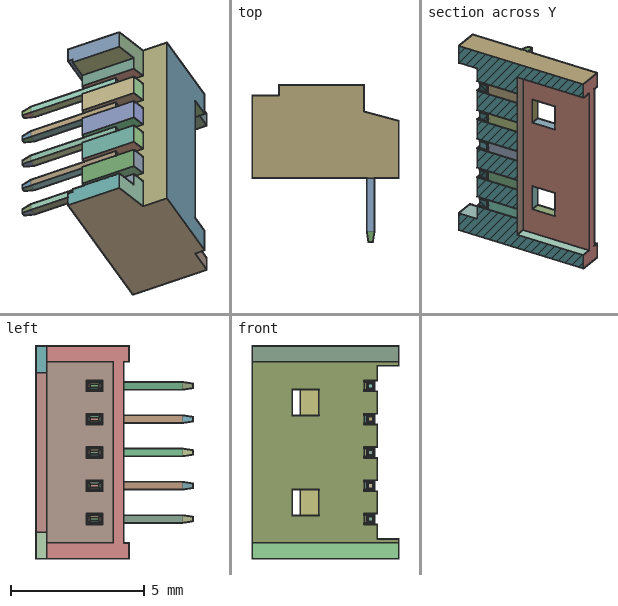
import cadquery as cq
import math


height = 8.0
length = 5.5
depth = 3.5
mouth_step_length = 1.0
wall = 0.4
back_end_x = 4.2
slope_start_y = 2.5
slope_angle = 15.0
slope_end_y = slope_start_y - (length - back_end_x) * math.tan(math.radians(slope_angle))

end_plate = 0.6
wing_thickness = 0.75
front_recess = 0.2
base_front_x = 2.91
base_back_x = 4.7
cavity_height = height - 2 * end_plate
cavity_front_y = front_recess + wall
cavity_back_y = depth - wall
back_opening_end_x = 1.8
back_opening_margin = 1.0

pin_count = 5
pin_row_length = 5.0
pin_pitch = pin_row_length / (pin_count - 1)
pin_z = [(i - (pin_count - 1) / 2) * pin_pitch for i in range(pin_count)]
hole_height = 0.4
hole_width = 0.61
hole_front_y = 1.0
clearance = 0.05
pin_thickness = hole_height - 2 * clearance
blade_width = hole_width - 2 * clearance
blade_y = hole_front_y + hole_width / 2
blade_front_x = 0.43
blade_tip_width = 0.3
blade_tip_thickness = 0.1
blade_taper = 0.5
leg_end_y = -2.4
leg_taper = 0.4
leg_tip = 0.18
leg_gap = 0.1
bend_radius = 0.16
leg_front_x = back_end_x + leg_gap
leg_back_x = leg_front_x + pin_thickness
leg_x = (leg_front_x + leg_back_x) / 2

window_size = 1.0
window_front_x = 1.5
window_z = (pin_z[-2] + pin_z[-1]) / 2


def block(x_range, y_range, z_centre, z_size):
    """Box between two X values and two Y values, centred on z_centre."""
    return (
        cq.Workplane("XY")
        .box(x_range[1] - x_range[0], y_range[1] - y_range[0], z_size, centered=(False, False, True))
        .translate((x_range[0], y_range[0], z_centre))
    )


def make_housing():
    body = (
        cq.Workplane("XY", origin=(0, 0, -height / 2))
        .moveTo(0, 0)
        .lineTo(length, 0)
        .lineTo(length, slope_end_y)
        .lineTo(back_end_x, slope_start_y)
        .lineTo(back_end_x, depth)
        .lineTo(mouth_step_length, depth)
        .lineTo(mouth_step_length, cavity_back_y)
        .lineTo(0, cavity_back_y)
        .close()
        .extrude(height)
    )
    body = body.cut(block((0, base_front_x), (cavity_front_y, cavity_back_y), 0, cavity_height))
    body = body.cut(block((0, length), (0, front_recess), 0, cavity_height))
    body = body.cut(block((base_back_x, length), (0, depth), 0, height - 2 * wing_thickness))
    back_opening_height = height - 2 * back_opening_margin
    body = body.cut(block((0, back_opening_end_x), (cavity_back_y, depth), 0, back_opening_height))
    window_x = (window_front_x, window_front_x + window_size)
    for z in (-window_z, window_z):
        body = body.cut(block(window_x, (0, cavity_front_y), z, window_size))
    hole_y = (hole_front_y, hole_front_y + hole_width)
    for z in pin_z:
        body = body.cut(block((base_front_x, base_back_x), hole_y, z, hole_height))
        body = body.cut(block((back_end_x, base_back_x), (0, depth), z, hole_height))
    return body


def make_pin(z):
    """Right-angle pin: a flat blade along X and a square leg along -Y, both with tapered ends."""
    blade_front_y = blade_y - blade_width / 2
    blade_back_y = blade_y + blade_width / 2
    blade_taper_x = blade_front_x + blade_taper
    leg_taper_y = leg_end_y + leg_taper
    pin = (
        cq.Workplane("XY", origin=(0, 0, -pin_thickness / 2))
        .moveTo(blade_taper_x, blade_back_y)
        .lineTo(leg_back_x, blade_back_y)
        .lineTo(leg_back_x, leg_taper_y)
        .lineTo(leg_front_x, leg_taper_y)
        .lineTo(leg_front_x, blade_front_y - bend_radius)
        .radiusArc((leg_front_x - bend_radius, blade_front_y), -bend_radius)
        .lineTo(blade_taper_x, blade_front_y)
        .close()
        .extrude(pin_thickness)
    )
    blade_tip = (
        cq.Workplane("YZ", origin=(blade_front_x, blade_y, 0))
        .rect(blade_tip_width, blade_tip_thickness)
        .workplane(offset=blade_taper)
        .rect(blade_width, pin_thickness)
        .loft()
    )
    leg_point = (
        cq.Workplane("XZ", origin=(leg_x, leg_taper_y, 0))
        .rect(pin_thickness, pin_thickness)
        .workplane(offset=leg_taper)
        .rect(leg_tip, leg_tip)
        .loft()
    )
    return pin.union(blade_tip).union(leg_point).translate((0, 0, z))


housing = make_housing()
pins = [make_pin(z) for z in pin_z]
result = cq.Compound.makeCompound([housing.val(), *[pin.val() for pin in pins]])